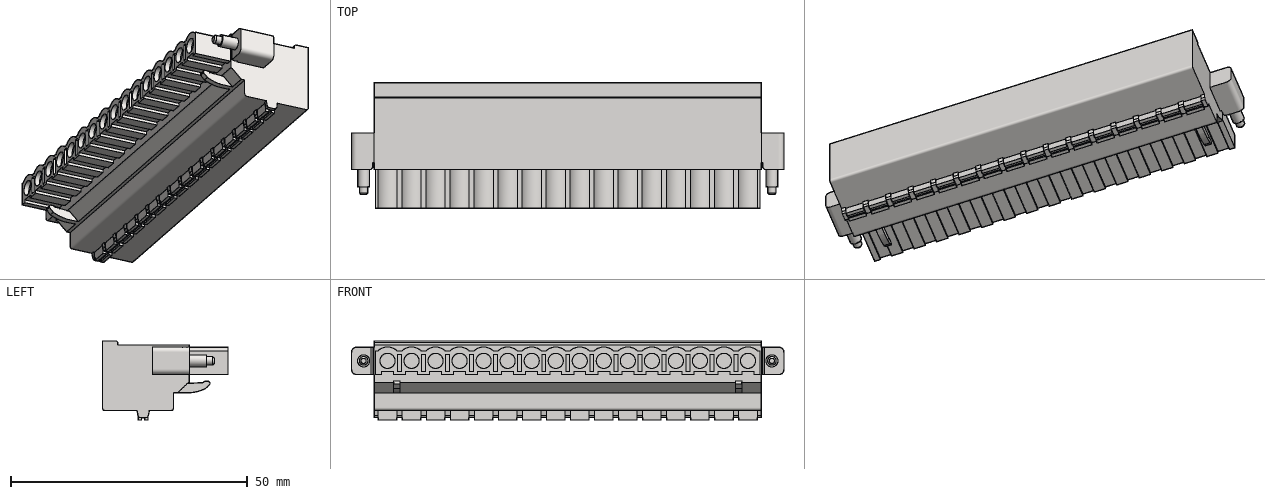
import cadquery as cq
import math


pole_count = 16
row_length = 81.3
pole_pitch = row_length / pole_count

total_length = 91.4
housing_length = 81.8
housing_depth = 18.4
housing_top = 3.4
housing_bottom = -10.5
bottom_fillet = 0.55
lip_height = 0.8
lip_depth = 3.3
lip_chamfer = 0.3
slope_edge_drop = 0.2
slope_edge_run = 0.4
slope_top = -4.8
slope_bottom = -6.8
slope_run = 2.5
step_back = 3.3

plug_length = 8.2
crown_radius = 2.9
valley_height = 2.1
plug_bottom = -2.9
plug_recess_bottom = -2.3
rail_width = 2.6
recess_width = pole_pitch - rail_width
funnel_diameter = 3.2
funnel_depth = 1.1
gap_width = 0.8
gap_top = 1.4

flange_height = 5.85
flange_depth = 7.8
flange_fillet = 1.1
relief_width = 0.3
relief_mouth_width = 0.6
relief_mouth_depth = 0.5
relief_depth = 1.5
screw_x = 43.2
shank_diameter = 2.6
shank_length = 3.7
tip_diameter = 1.8
tip_length = 1.65
tip_chamfer = 0.4

latch_x = 36.1
latch_width = 1.4
latch_hook_start = (-2.9, -4.6)
latch_hook_back = (-3.3, -4.3)
latch_hook_front = (-3.8, -4.3)
latch_nose_middle = (-4.3, -4.5)
latch_nose_end = (-4.4, -4.9)
latch_belly_start = (-3.5, -5.85)
latch_belly_middle = (-1.8, -6.5)
latch_belly_end = (-0.2, slope_bottom)

bar_back = 11.1
bar_front = 8.4
bar_bottom = -12.0
bar_taper = 0.2
bar_chamfer_height = 0.5
bar_chamfer_width = 0.3
foot_width = 3.9
foot_back = 10.8
foot_front = 8.7
foot_bottom = -12.5
foot_groove_width = 0.6
foot_groove_depth = 0.5

pole_xs = [(i - (pole_count - 1) / 2) * pole_pitch for i in range(pole_count)]
gap_xs = [x + pole_pitch / 2 for x in pole_xs[:-1]]


def box(x_min, x_max, y_min, y_max, z_min, z_max):
    """Axis-aligned block given by its limits."""
    block = cq.Workplane("XY").box(x_max - x_min, y_max - y_min, z_max - z_min, centered=False)
    return block.translate((x_min, y_min, z_min))


def extrude_side_profile(sketch, x_center, width):
    """Extrude a closed profile drawn in the YZ plane, centred on x_center."""
    return sketch.extrude(width / 2, both=True).translate((x_center, 0, 0))


def make_housing():
    lip_top = housing_top + lip_height
    lip_front = housing_depth - lip_depth
    profile = (
        cq.Workplane("YZ")
        .moveTo(0, housing_top)
        .lineTo(lip_front, housing_top)
        .lineTo(lip_front, lip_top - lip_chamfer)
        .lineTo(lip_front + lip_chamfer, lip_top)
        .lineTo(housing_depth, lip_top)
        .lineTo(housing_depth, housing_bottom)
        .lineTo(step_back, housing_bottom)
        .lineTo(step_back, slope_bottom)
        .lineTo(slope_run, slope_bottom)
        .lineTo(slope_edge_run, slope_top)
        .lineTo(0, slope_top + slope_edge_drop)
        .close()
    )
    housing = extrude_side_profile(profile, 0, housing_length)
    return housing.faces("<Z").edges("|X").fillet(bottom_fillet)


def make_plugs():
    crown_half_width = math.sqrt(crown_radius**2 - valley_height**2)
    plugs = box(-row_length / 2, row_length / 2, -plug_length, 0, plug_bottom, valley_height)
    front = cq.Workplane("XZ", origin=(0, -plug_length, 0))
    for x in pole_xs:
        crown = (
            front.moveTo(x - crown_half_width, valley_height)
            .threePointArc((x, crown_radius), (x + crown_half_width, valley_height))
            .close()
            .extrude(-plug_length)
        )
        plugs = plugs.union(crown)
    funnels = front.pushPoints([(x, 0) for x in pole_xs]).circle(funnel_diameter / 2).extrude(-funnel_depth)
    plugs = plugs.cut(funnels)
    for x in pole_xs:
        half = recess_width / 2
        plugs = plugs.cut(box(x - half, x + half, -plug_length, 0, plug_bottom, plug_recess_bottom))
    for x in gap_xs:
        half = gap_width / 2
        plugs = plugs.cut(box(x - half, x + half, -plug_length, 0, plug_recess_bottom, gap_top))
    return plugs


def make_right_flange():
    inner = housing_length / 2
    outer = total_length / 2
    flange = box(inner, outer, 0, flange_depth, -flange_height / 2, flange_height / 2)
    flange = flange.edges("|Y and >X").fillet(flange_fillet)
    relief = (
        cq.Workplane("XY", origin=(0, 0, -flange_height / 2))
        .moveTo(inner, 0)
        .lineTo(inner + relief_mouth_width, 0)
        .lineTo(inner + relief_width, relief_mouth_depth)
        .lineTo(inner + relief_width, relief_depth)
        .lineTo(inner, relief_depth)
        .close()
        .extrude(flange_height)
    )
    tip_end = shank_length + tip_length
    face = cq.Workplane("XZ").center(screw_x, 0)
    shank = face.circle(shank_diameter / 2).extrude(shank_length)
    tip = face.circle(tip_diameter / 2).extrude(tip_end).faces("<Y").chamfer(tip_chamfer)
    return flange.cut(relief).union(shank).union(tip)


def make_latch(x):
    profile = (
        cq.Workplane("YZ")
        .moveTo(slope_edge_run, slope_top)
        .lineTo(*latch_hook_start)
        .lineTo(*latch_hook_back)
        .lineTo(*latch_hook_front)
        .threePointArc(latch_nose_middle, latch_nose_end)
        .lineTo(*latch_belly_start)
        .threePointArc(latch_belly_middle, latch_belly_end)
        .lineTo(slope_run, slope_bottom)
        .close()
    )
    return extrude_side_profile(profile, x, latch_width)


def make_feet():
    bar_end_front = bar_front + bar_taper
    bar_end_back = bar_back - bar_taper
    bar_shoulder = bar_bottom + bar_chamfer_height
    bar = (
        cq.Workplane("YZ")
        .moveTo(bar_front, housing_bottom)
        .lineTo(bar_end_front, bar_shoulder)
        .lineTo(bar_end_front + bar_chamfer_width, bar_bottom)
        .lineTo(bar_end_back - bar_chamfer_width, bar_bottom)
        .lineTo(bar_end_back, bar_shoulder)
        .lineTo(bar_back, housing_bottom)
        .close()
    )
    feet = extrude_side_profile(bar, 0, housing_length)
    groove_center = (foot_front + foot_back) / 2
    groove_front = groove_center - foot_groove_width / 2
    groove_back = groove_center + foot_groove_width / 2
    for x in pole_xs:
        left = x - foot_width / 2
        right = x + foot_width / 2
        feet = feet.cut(box(left, right, bar_front, bar_back, foot_bottom, housing_bottom))
        foot = box(left, right, foot_front, foot_back, foot_bottom, housing_bottom)
        groove_top = foot_bottom + foot_groove_depth
        foot = foot.cut(box(left, right, groove_front, groove_back, foot_bottom, groove_top))
        feet = feet.union(foot)
    return feet


right_flange = make_right_flange()
result = make_housing().union(make_plugs()).union(make_feet())
result = result.union(right_flange).union(right_flange.mirror("YZ"))
for side in (-1, 1):
    result = result.union(make_latch(side * latch_x))